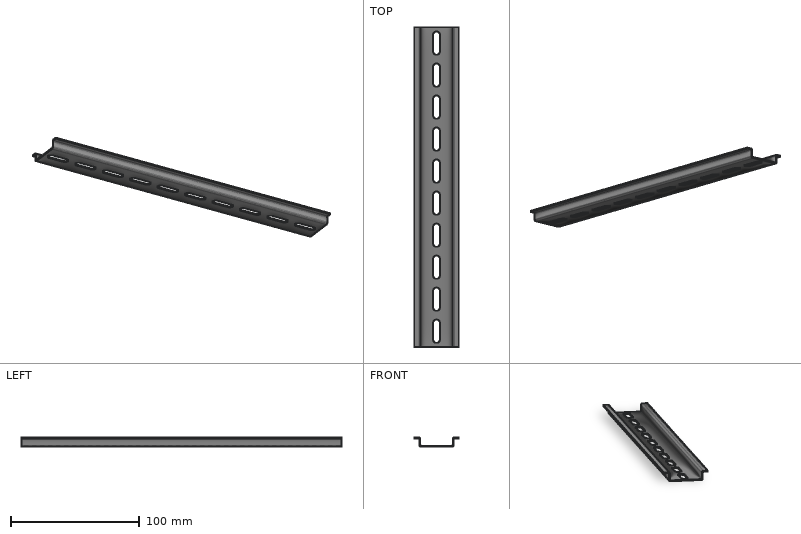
import cadquery as cq

rail_width = 35.0
rail_length = 250.0
rail_height = 7.5
sheet_thickness = 1.0

channel_outer_width = 27.0
channel_inner_width = channel_outer_width - 2 * sheet_thickness
inner_bend_radius = 0.5
outer_bend_radius = inner_bend_radius + sheet_thickness

slot_count = 10
slot_pitch = rail_length / slot_count
slot_length = 18.0
slot_width = 5.2
slot_angle = 90.0

edge_pick_tolerance = 0.01


def centred_bar(width, bottom, top):
    """Full-length bar, centred on X and Y, between two heights."""
    return (
        cq.Workplane("XY")
        .workplane(offset=bottom)
        .rect(width, rail_length)
        .extrude(top - bottom)
    )


def hat_section():
    """Sheet-metal hat profile: a floor, two walls and two outward flanges."""
    flange_bottom = rail_height - sheet_thickness
    flanges = centred_bar(rail_width, flange_bottom, rail_height)
    channel = centred_bar(channel_outer_width, 0, rail_height)
    hollow = centred_bar(channel_inner_width, sheet_thickness, rail_height)
    return flanges.union(channel).cut(hollow)


def bend_edges(half_width, height):
    """Selector for the two lengthwise edges at +/- half_width and a height."""
    reach = edge_pick_tolerance
    selector = None
    for x in (-half_width, half_width):
        box = cq.selectors.BoxSelector(
            (x - reach, -reach, height - reach),
            (x + reach, reach, height + reach),
        )
        selector = box if selector is None else selector + box
    return selector


def round_bends(body):
    """Round both sides of the four sheet bends with concentric radii."""
    outer_half = channel_outer_width / 2
    inner_half = channel_inner_width / 2
    body = body.edges(bend_edges(outer_half, 0)).fillet(outer_bend_radius)
    body = body.edges(bend_edges(inner_half, sheet_thickness)).fillet(inner_bend_radius)
    body = body.edges(bend_edges(inner_half, rail_height)).fillet(outer_bend_radius)
    flange_bottom = rail_height - sheet_thickness
    return body.edges(bend_edges(outer_half, flange_bottom)).fillet(inner_bend_radius)


def mounting_slots():
    """Row of lengthwise slots, evenly pitched along the floor."""
    return (
        cq.Workplane("XY")
        .rarray(1, slot_pitch, 1, slot_count)
        .slot2D(slot_length, slot_width, slot_angle)
        .extrude(rail_height)
    )


result = round_bends(hat_section()).cut(mounting_slots())